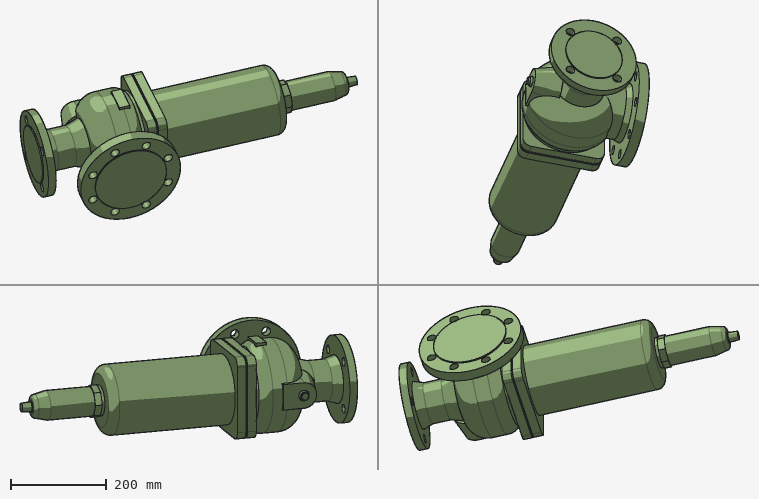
import cadquery as cq
import math


inlet_flange_radius = 93.0
inlet_flange_thickness = 20.0
raised_face_height = 3.0
inlet_face_radius = 61.0
inlet_neck_radius = 44.0
inlet_flare_radius = 51.0
inlet_flare_end = 42.0
inlet_cone_start = 81.0
inlet_cone_radius = 53.5

outlet_height = 169.0
outlet_flange_diameter = 220.0
outlet_flange_radius = outlet_flange_diameter / 2
outlet_reach = 140.5
outlet_flange_thickness = 25.0
outlet_face_radius = 78.5
outlet_neck_radius = 58.5
outlet_flare_radius = 63.5
outlet_flare_start = 102.5

bolt_hole_radius = 9.0
inlet_bolt_count = 4
inlet_bolt_circle_radius = 72.0
outlet_bolt_count = 8
outlet_bolt_circle_radius = 90.0

body_radius = 99.0
body_bottom = outlet_height - outlet_neck_radius
body_bottom_radius = 50.5
body_shoulder_start = 191.0
body_shoulder_end = 218.0
body_shoulder_arc = 32.0
body_collar_radius = 87.0

joint_bottom = 224.5
joint_top = 266.5
joint_side = 177.5
joint_corner_radius = 18.0
joint_gap = 3.0
joint_gap_inset = 2.0

bonnet_radius = 75.0
bonnet_top = 539.5
bonnet_edge_radius = 18.5

nut_sides = 8
nut_diameter = 70.0
nut_bottom = 546.0
nut_top = 561.0
nut_collar_radius = 33.0
cap_radius = 31.5
cap_taper_start = 658.0
cap_taper_end = 682.0
cap_taper_radius = 26.0
cap_top = 690.5
cap_edge_radius = 8.5
tip_collar_radius = 12.0
tip_collar_top = 693.0
tip_base_radius = 11.0
tip_radius = 9.0
overall_length = 713.0

boss_face = 100.0
boss_half_width = 28.0
boss_centre = 123.0
boss_top = outlet_height
boss_depth = 57.0
boss_draft = 14.0
plug_base_radius = 11.5
plug_cone_radius = 9.0
plug_radius = 8.0
plug_cone_end = 105.0
plug_end = 109.0

plate_length = 53.5
plate_width = 23.0
plate_centre = 193.0
plate_top = 101.0
plate_root = 85.5


def cylinder_y(radius, start, end):
    """Cylinder on the Y axis between two heights."""
    return cq.Workplane("XZ", origin=(0, start, 0)).circle(radius).extrude(start - end)


def revolve_y(profile):
    """Turn a closed (radius, Y) outline about the Y axis."""
    return profile.close().revolve(360, (0, 0, 0), (0, 1, 0))


def bolt_angles(count):
    step = 360 / count
    return [step / 2 + step * index for index in range(count)]


def make_inlet():
    profile = (
        cq.Workplane("XY")
        .lineTo(inlet_face_radius, 0)
        .lineTo(inlet_face_radius, raised_face_height)
        .lineTo(inlet_flange_radius, raised_face_height)
        .lineTo(inlet_flange_radius, inlet_flange_thickness)
        .lineTo(inlet_flare_radius, inlet_flange_thickness)
        .lineTo(inlet_neck_radius, inlet_flare_end)
        .lineTo(inlet_neck_radius, inlet_cone_start)
        .lineTo(inlet_cone_radius, body_bottom)
        .lineTo(inlet_cone_radius, outlet_height)
        .lineTo(0, outlet_height)
    )
    return revolve_y(profile)


def make_body():
    bottom_arc_radius = body_radius - body_bottom_radius
    profile = (
        cq.Workplane("XY")
        .moveTo(0, body_bottom)
        .lineTo(body_bottom_radius, body_bottom)
        .radiusArc((body_radius, body_bottom + bottom_arc_radius), -bottom_arc_radius)
        .lineTo(body_radius, body_shoulder_start)
        .radiusArc((body_collar_radius, body_shoulder_end), -body_shoulder_arc)
        .lineTo(body_collar_radius, joint_bottom)
        .lineTo(0, joint_bottom)
    )
    return revolve_y(profile)


def make_outlet():
    flange_back = outlet_reach - outlet_flange_thickness
    flange_front = outlet_reach - raised_face_height
    axis_start = (0, outlet_height, 0)
    profile = (
        cq.Workplane("XY", origin=axis_start)
        .lineTo(0, outlet_neck_radius)
        .lineTo(outlet_flare_start, outlet_neck_radius)
        .lineTo(flange_back, outlet_flare_radius)
        .lineTo(flange_back, outlet_flange_radius)
        .lineTo(flange_front, outlet_flange_radius)
        .lineTo(flange_front, outlet_face_radius)
        .lineTo(outlet_reach, outlet_face_radius)
        .lineTo(outlet_reach, 0)
        .close()
    )
    return profile.revolve(360, (0, 0, 0), (1, 0, 0))


def square_plate(side, corner_radius, start, end):
    return (
        cq.Workplane("XZ", origin=(0, start, 0))
        .rect(side, side)
        .extrude(start - end)
        .edges("|Y")
        .fillet(corner_radius)
    )


def make_joint():
    """Two square flanges separated by a slightly smaller gasket."""
    middle = (joint_bottom + joint_top) / 2
    gap_bottom = middle - joint_gap / 2
    gap_top = middle + joint_gap / 2
    lower = square_plate(joint_side, joint_corner_radius, joint_bottom, gap_bottom)
    upper = square_plate(joint_side, joint_corner_radius, gap_top, joint_top)
    gasket = square_plate(
        joint_side - 2 * joint_gap_inset, joint_corner_radius - joint_gap_inset, gap_bottom, gap_top
    )
    return lower.union(gasket).union(upper)


def make_bonnet():
    bonnet = cylinder_y(bonnet_radius, joint_top, bonnet_top)
    return bonnet.faces(">Y").edges().fillet(bonnet_edge_radius)


def make_lock_nut():
    nut = (
        cq.Workplane("XZ", origin=(0, nut_bottom, 0))
        .polygon(nut_sides, nut_diameter)
        .extrude(nut_bottom - nut_top)
    )
    return nut.union(cylinder_y(nut_collar_radius, bonnet_top, nut_bottom))


def make_cap():
    profile = (
        cq.Workplane("XY")
        .moveTo(0, nut_top)
        .lineTo(cap_radius, nut_top)
        .lineTo(cap_radius, cap_taper_start)
        .lineTo(cap_taper_radius, cap_taper_end)
        .radiusArc((cap_taper_radius - cap_edge_radius, cap_top), -cap_edge_radius)
        .lineTo(tip_collar_radius, cap_top)
        .lineTo(tip_collar_radius, tip_collar_top)
        .lineTo(tip_base_radius, tip_collar_top)
        .lineTo(tip_radius, overall_length)
        .lineTo(0, overall_length)
    )
    return revolve_y(profile)


def make_drain_boss():
    """Drafted U-shaped boss that widens into the body, with a conical plug."""
    boss = (
        cq.Workplane("YZ", origin=(-boss_face, 0, 0))
        .moveTo(boss_top, -boss_half_width)
        .lineTo(boss_top, boss_half_width)
        .lineTo(boss_centre, boss_half_width)
        .threePointArc((boss_centre - boss_half_width, 0), (boss_centre, -boss_half_width))
        .close()
        .extrude(boss_depth, taper=-boss_draft)
    )
    plug = (
        cq.Workplane("XY", origin=(0, boss_centre, 0))
        .moveTo(-boss_face, 0)
        .lineTo(-boss_face, plug_base_radius)
        .lineTo(-plug_cone_end, plug_cone_radius)
        .lineTo(-plug_cone_end, plug_radius)
        .lineTo(-plug_end, plug_radius)
        .lineTo(-plug_end, 0)
        .close()
        .revolve(360, (0, 0, 0), (1, 0, 0))
    )
    return boss.union(plug)


def make_name_plate():
    return (
        cq.Workplane("XY", origin=(0, plate_centre, plate_root))
        .rect(plate_length, plate_width)
        .extrude(plate_top - plate_root)
    )


def make_bolt_holes(flange_face, count, circle_radius, depth):
    """Ring of through holes, sunk from the flange face and straddling its centre lines."""
    holes = flange_face
    for angle in bolt_angles(count):
        turn = math.radians(angle)
        centre = (circle_radius * math.cos(turn), circle_radius * math.sin(turn))
        holes = holes.moveTo(*centre).circle(bolt_hole_radius)
    return holes.extrude(-depth)


inlet_bolt_holes = make_bolt_holes(
    cq.Workplane("XZ"), inlet_bolt_count, inlet_bolt_circle_radius, inlet_flange_thickness
)
outlet_bolt_holes = make_bolt_holes(
    cq.Workplane("YZ", origin=(outlet_reach, outlet_height, 0)),
    outlet_bolt_count,
    outlet_bolt_circle_radius,
    outlet_flange_thickness,
)

result = (
    make_body()
    .union(make_inlet())
    .union(make_outlet())
    .union(make_joint())
    .union(make_bonnet())
    .union(make_lock_nut())
    .union(make_cap())
    .union(make_drain_boss())
    .union(make_name_plate())
    .cut(inlet_bolt_holes)
    .cut(outlet_bolt_holes)
)